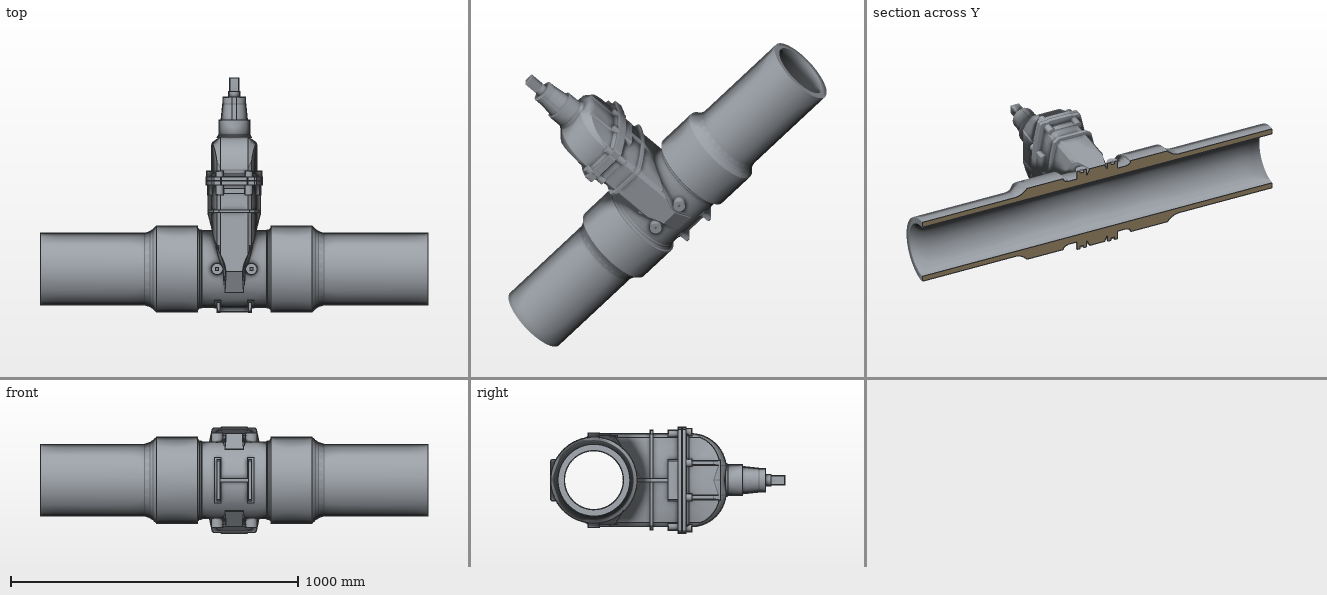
import cadquery as cq

half_length = 675.0
bore_radius = 204.55 / 2
pipe_radius = 250.0 / 2
body_radius = 267.0 / 2
shoulder_radius = 272.2 / 2
sleeve_radius = 300.2 / 2
body_end_x = 112.0
shoulder_start_x = 115.0
shoulder_end_x = 121.0
sleeve_start_x = 128.0
lip_radius = 142.0
sleeve_end_x = 270.0
sleeve_cone_x = 283.0
sleeve_cone_radius = 137.5
fairing_start_x = 293.0
fairing_start_radius = 131.0
fairing_end_x = 312.0

housing_top_z = 162.0
housing_flat_half = 47.0
housing_corner = (60.0, 148.0)
housing_side_x = 80.0
housing_end_y = 307.0
neck_start_y = 170.0
toe_y = -8.0
toe_half_width = 29.0
heel_y = -81.0
heel_half_width = 32.0
heel_z = 109.0

root_foot_z = 105.0
root_top_z = 155.0
root_drop = 6.0
root_foot = [(33.0, -81.0), (51.0, -15.0), (62.0, 30.0), (64.0, 82.0)]
root_top = [(26.0, -81.0), (28.0, -15.0), (41.0, 30.0), (59.0, 82.0)]

bonnet_end_y = 460.0
bonnet_end_half_width = 60.0
bonnet_end_z = 52.0
bonnet_round_start_y = 417.0
dome_mid = (401.0, 144.5)
dome_start_y = 331.0
dome_root_y = 260.0
bonnet_bevel_angle = 35.0
bonnet_skirt_rise = 9.0
bonnet_skirt_bevel = 8.0
bonnet_skirt_end_y = 331.0

flange_height = 370.9
flange_start_y = 293.0
flange_end_y = 321.0
flange_crown_half = 44.0
flange_crown_step = 3.0
flange_corner = (77.0, 177.0)
flange_corner_cut = 6.0
flange_side_x = 100.0
joint_width = 3.0
joint_depth = 2.5

corner_bolt = (51.0, 167.0)
side_bolt = (83.0, 60.0)
bolt_radius = 13.0
bolt_head_end_y = 341.0
boss_start_y = 258.0
boss_radius = 13.0
boss_z = 161.5
bonnet_rib_radius = 10.0
bonnet_rib_end_y = 440.0
bonnet_rib_inset = 11.0

ring_start_y = 196.0
ring_width = 10.0
ring_rise = 12.0
side_pad_x = 93.0
side_pad_half_height = 72.0
side_pad_bevel = 5.0
spine_half_height = 6.0
spine_fade_y = 150.0
plate_half_width = 36.0
plate_start_y = 262.0
plate_end_y = 281.0
plate_top_z = 166.0

tower_radius = 108.0 / 2
tower_end_y = 518.0
tower_flare_start_y = 458.0
tower_flare_end_y = 467.0
tower_flare_radius = 60.0
hood_base_radius = 46.0
hood_top_radius = 40.0
hood_ring_start_y = 575.0
hood_end_y = 598.0
hood_rib_width = 14.0
hood_rib_proud = 1.5
collar_radius = 40.0 / 2
collar_end_y = 617.0
stem_width = 32.0
stem_end_y = 665.0

plug_x = 59.5
plug_radius = 40.0 / 2
plug_top_z = 165.0
plug_socket_width = 11.0
plug_socket_depth = 10.0

foot_y = -151.0
foot_inner_x = 49.0
foot_outer_x = 60.0
foot_half_height = 72.0
foot_bevel = 5.0
foot_pad_inner_x = 46.0
foot_pad_outer_x = 68.0
foot_pad_half_height = 79.0
foot_pad_rise = 3.0
tie_half_height = 6.0
tie_y = -149.0


def box(x0, x1, y0, y1, z0, z1):
    """Axis-aligned block between two corners."""
    return cq.Workplane("XY").box(x1 - x0, y1 - y0, z1 - z0, centered=False).translate((x0, y0, z0))


def along_y(sketch, start_y, end_y):
    """Extrude an X-Z outline from start_y to end_y."""
    return sketch.extrude(start_y - end_y).translate((0, start_y, 0))


def round_y(radius, start_y, end_y, x=0.0, z=0.0):
    """Cylinder along Y."""
    return along_y(cq.Workplane("XZ").center(x, z).circle(radius), start_y, end_y)


def cylinder_x(radius, half_width):
    """Cylinder along X, centred on the origin."""
    return cq.Workplane("YZ").circle(radius).extrude(half_width, both=True)


def housing_section(rise=0.0):
    """Housing outline in X-Z, grown outward by rise."""
    flat_half = housing_flat_half + rise / 2
    top_z = housing_top_z + rise
    side_x = housing_side_x + rise
    corner_x = housing_corner[0] + rise
    corner_z = housing_corner[1] + rise
    return (
        cq.Workplane("XZ")
        .moveTo(-flat_half, top_z)
        .lineTo(flat_half, top_z)
        .lineTo(corner_x, corner_z)
        .threePointArc((side_x, 0), (corner_x, -corner_z))
        .lineTo(flat_half, -top_z)
        .lineTo(-flat_half, -top_z)
        .lineTo(-corner_x, -corner_z)
        .threePointArc((-side_x, 0), (-corner_x, corner_z))
        .close()
    )


def make_pipe_run():
    """Body, sleeves and pipe ends revolved about X, without the bore."""
    right_steps = [
        (body_end_x, body_radius),
        (shoulder_start_x, shoulder_radius),
        (shoulder_end_x, shoulder_radius),
        (sleeve_start_x, lip_radius),
        (sleeve_start_x, sleeve_radius),
        (sleeve_end_x, sleeve_radius),
        (sleeve_cone_x, sleeve_cone_radius),
        (fairing_start_x, fairing_start_radius),
    ]
    left_steps = [(-x, radius) for x, radius in reversed(right_steps)]
    return (
        cq.Workplane("XY")
        .moveTo(-half_length, 0)
        .lineTo(-half_length, pipe_radius)
        .lineTo(-fairing_end_x, pipe_radius)
        .spline([left_steps[0]], tangents=[(1, 0), (2, 1)], includeCurrent=True)
        .polyline(left_steps + right_steps, includeCurrent=False)
        .spline([(fairing_end_x, pipe_radius)], tangents=[(2, -1), (1, 0)], includeCurrent=True)
        .lineTo(half_length, pipe_radius)
        .lineTo(half_length, 0)
        .close()
        .revolve(360, (0, 0, 0), (1, 0, 0))
    )


def make_neck_root():
    """Sloping flare between the upper side of the body and the neck."""
    foot = root_foot + [(-x, y) for x, y in reversed(root_foot)]
    top = root_top + [(-x, y) for x, y in reversed(root_top)]
    return (
        cq.Workplane("XY", origin=(0, 0, root_foot_z))
        .polyline(foot)
        .close()
        .workplane(offset=root_top_z - root_foot_z)
        .polyline(top)
        .close()
        .loft(ruled=True)
    )


def make_housing():
    """Barrel section trimmed to the narrowing neck in plan and to the sloped heel in side view."""
    barrel = along_y(housing_section(), heel_y, housing_end_y)
    right_half = (
        cq.Workplane("XY")
        .moveTo(0, heel_y)
        .lineTo(heel_half_width, heel_y)
        .spline(
            [(toe_half_width, toe_y), (housing_side_x, neck_start_y)],
            tangents=[(0, 1), (0, 1)],
            includeCurrent=True,
        )
        .lineTo(housing_side_x, housing_end_y)
        .lineTo(0, housing_end_y)
        .close()
        .extrude(housing_top_z, both=True)
    )
    plan = right_half.union(right_half.mirror("YZ"))
    upper_edge = [(housing_end_y, housing_top_z), (toe_y, housing_top_z), (heel_y, heel_z)]
    lower_edge = [(y, -z) for y, z in reversed(upper_edge)]
    side = (
        cq.Workplane("YZ")
        .polyline(upper_edge + lower_edge)
        .close()
        .extrude(housing_side_x, both=True)
    )
    root = make_neck_root().intersect(side.translate((0, 0, -root_drop)))
    return barrel.intersect(plan).intersect(side).union(root).union(root.mirror("XY"))


def dome_outline(x):
    """Bonnet outline in Y-Z at the given x, started inside the housing."""
    return (
        cq.Workplane("YZ", origin=(x, 0, 0))
        .moveTo(dome_root_y, housing_top_z)
        .lineTo(dome_start_y, housing_top_z)
        .threePointArc(dome_mid, (bonnet_end_y, bonnet_end_z))
        .lineTo(bonnet_end_y, -bonnet_end_z)
        .threePointArc((dome_mid[0], -dome_mid[1]), (dome_start_y, -housing_top_z))
        .lineTo(dome_root_y, -housing_top_z)
        .close()
    )


def make_bonnet():
    """Barrel section domed in side view and rounded in plan, with ribs running to the bolts."""
    barrel = along_y(housing_section(), housing_end_y, bonnet_end_y)
    bevel_width = housing_side_x - housing_flat_half
    middle = dome_outline(0).extrude(housing_flat_half, both=True)
    bevel = dome_outline(housing_flat_half).extrude(bevel_width, taper=bonnet_bevel_angle)
    side = middle.union(bevel).union(bevel.mirror("YZ"))
    plan = (
        cq.Workplane("XY")
        .moveTo(housing_side_x, housing_end_y)
        .lineTo(housing_side_x, bonnet_round_start_y)
        .spline([(bonnet_end_half_width, bonnet_end_y)], tangents=[(0, 1), (-1, 1)], includeCurrent=True)
        .lineTo(-bonnet_end_half_width, bonnet_end_y)
        .spline([(-housing_side_x, bonnet_round_start_y)], tangents=[(-1, -1), (0, -1)], includeCurrent=True)
        .lineTo(-housing_side_x, housing_end_y)
        .close()
        .extrude(housing_top_z, both=True)
    )
    bonnet = barrel.intersect(side).intersect(plan)
    for side_x in (-1, 1):
        for side_z in (-1, 1):
            rib_x = side_x * (side_bolt[0] - bonnet_rib_inset)
            rib_z = side_z * side_bolt[1]
            rib = round_y(bonnet_rib_radius, housing_end_y, bonnet_rib_end_y, rib_x, rib_z)
            bonnet = bonnet.union(rib.intersect(plan))
    skirt = along_y(housing_section(bonnet_skirt_rise), flange_end_y, bonnet_skirt_end_y)
    return bonnet.union(skirt.faces(">Y").chamfer(bonnet_skirt_bevel))


def flange_section(inset=0.0):
    """Flange outline in X-Z, shrunk by inset."""
    crown_z = flange_height / 2 - inset
    step_z = crown_z - flange_crown_step
    corner_x = flange_corner[0] - inset
    corner_z = flange_corner[1] - inset
    side_x = flange_side_x - inset
    upper_edge = [
        (0, crown_z),
        (flange_crown_half, crown_z),
        (flange_crown_half + flange_crown_step, step_z),
        (corner_x - flange_corner_cut, step_z),
        (corner_x, corner_z),
    ]
    lower_edge = [(x, -z) for x, z in reversed(upper_edge)]
    return (
        cq.Workplane("XZ")
        .polyline(upper_edge)
        .threePointArc((side_x, 0), lower_edge[0])
        .polyline(lower_edge[1:], includeCurrent=True)
        .mirrorY()
    )


def make_flange():
    """Two flange plates with a shallow groove along the joint, bolt heads and corner bosses."""
    joint_start_y = housing_end_y - joint_width / 2
    joint_end_y = housing_end_y + joint_width / 2
    flange = along_y(flange_section(), flange_start_y, joint_start_y)
    flange = flange.union(along_y(flange_section(joint_depth), joint_start_y, joint_end_y))
    flange = flange.union(along_y(flange_section(), joint_end_y, flange_end_y))
    for side_x in (-1, 1):
        for side_z in (-1, 1):
            for bolt_x, bolt_z in (corner_bolt, side_bolt):
                head = round_y(bolt_radius, joint_end_y, bolt_head_end_y, side_x * bolt_x, side_z * bolt_z)
                flange = flange.union(head)
            boss = round_y(boss_radius, boss_start_y, joint_start_y, side_x * corner_bolt[0], side_z * boss_z)
            flange = flange.union(boss)
    return flange


def make_housing_ribs():
    """Ring rib around the housing, side pads, side spines and raised plates."""
    ribs = along_y(housing_section(ring_rise), ring_start_y, ring_start_y + ring_width)
    pad_half = (
        box(0, side_pad_x, boss_start_y, flange_start_y, -side_pad_half_height, side_pad_half_height)
        .edges(">X and |Y")
        .chamfer(side_pad_bevel)
    )
    spine_x = housing_side_x + ring_rise
    spine_half = (
        cq.Workplane("XY")
        .polyline([
            (0, boss_start_y),
            (spine_x, boss_start_y),
            (spine_x, ring_start_y),
            (housing_side_x, spine_fade_y),
            (0, spine_fade_y),
        ])
        .close()
        .extrude(spine_half_height, both=True)
    )
    for feature in (pad_half, spine_half):
        ribs = ribs.union(feature).union(feature.mirror("YZ"))
    plates = box(-plate_half_width, plate_half_width, plate_start_y, plate_end_y, -plate_top_z, plate_top_z)
    return ribs.union(plates)


def make_stem_tower():
    """Round tower, ribbed tapering hood, collar and square stem end."""
    tower = round_y(tower_radius, dome_start_y, tower_end_y)
    flare = (
        cq.Workplane("XY")
        .polyline([
            (0, tower_flare_start_y),
            (tower_flare_radius, tower_flare_start_y),
            (tower_radius, tower_flare_end_y),
            (0, tower_flare_end_y),
        ])
        .close()
        .revolve(360, (0, 0, 0), (0, 1, 0))
    )
    hood = (
        cq.Workplane("XY")
        .polyline([
            (0, tower_end_y),
            (hood_base_radius, tower_end_y),
            (hood_top_radius, hood_ring_start_y),
            (hood_top_radius, hood_end_y),
            (0, hood_end_y),
        ])
        .close()
        .revolve(360, (0, 0, 0), (0, 1, 0))
    )
    rib_foot = hood_base_radius + hood_rib_proud
    rib_head = hood_top_radius + hood_rib_proud
    rib = (
        cq.Workplane("XY")
        .polyline([
            (-rib_foot, tower_end_y),
            (rib_foot, tower_end_y),
            (rib_head, hood_ring_start_y),
            (rib_head, hood_end_y),
            (-rib_head, hood_end_y),
            (-rib_head, hood_ring_start_y),
        ])
        .close()
        .extrude(hood_rib_width / 2, both=True)
    )
    rib = rib.rotate((0, 0, 0), (0, 1, 0), 90)
    collar = round_y(collar_radius, hood_end_y, collar_end_y)
    half_stem = stem_width / 2
    stem = box(-half_stem, half_stem, collar_end_y, stem_end_y, -half_stem, half_stem)
    return tower.union(hood).union(flare).union(rib).union(collar).union(stem)


def make_feet():
    """Two bevelled foot plates on low pads, joined by a tie bar."""
    foot = (
        box(foot_inner_x, foot_outer_x, foot_y, 0, -foot_half_height, foot_half_height)
        .edges("<Y and |X")
        .chamfer(foot_bevel)
    )
    pad_block = box(
        foot_pad_inner_x, foot_pad_outer_x, foot_y, 0, -foot_pad_half_height, foot_pad_half_height
    )
    pad = pad_block.intersect(cylinder_x(body_radius + foot_pad_rise, foot_pad_outer_x))
    foot = foot.union(pad)
    tie = box(-foot_inner_x, foot_inner_x, tie_y, 0, -tie_half_height, tie_half_height)
    return foot.union(foot.mirror("YZ")).union(tie)


def make_plug_pair(sockets):
    """Round plug pair standing on the body, or the square sockets cut into them."""
    base_z = plug_top_z - plug_socket_depth if sockets else bore_radius
    points = cq.Workplane("XY").workplane(offset=base_z).pushPoints([(-plug_x, 0), (plug_x, 0)])
    outline = points.rect(plug_socket_width, plug_socket_width) if sockets else points.circle(plug_radius)
    pair = outline.extrude(plug_top_z - base_z)
    return pair.union(pair.mirror("XY"))


result = make_pipe_run()
for piece in (
    make_housing(),
    make_bonnet(),
    make_flange(),
    make_housing_ribs(),
    make_stem_tower(),
    make_feet(),
    make_plug_pair(sockets=False),
):
    result = result.union(piece)
result = result.cut(make_plug_pair(sockets=True))
result = result.cut(cylinder_x(bore_radius, half_length))